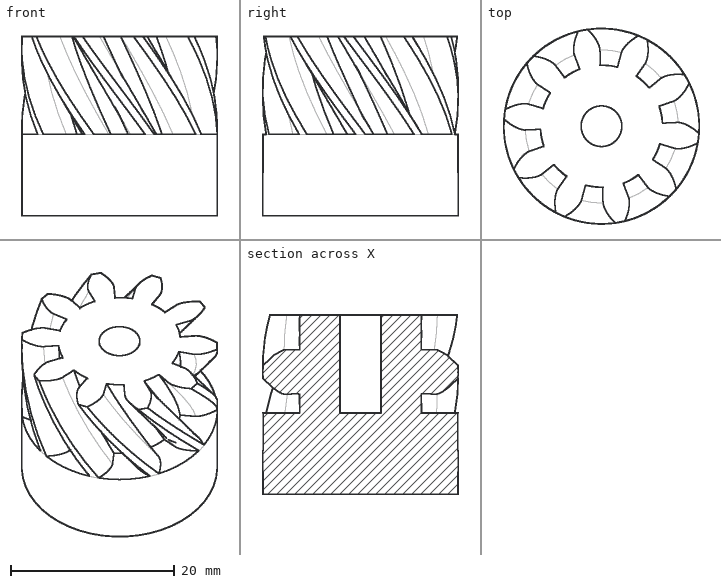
import cadquery as cq
import math

outside_radius = 12.0
tooth_count = 10
pressure_angle = math.radians(20)
dedendum_factor = 1.25
module = 2 * outside_radius / (tooth_count + 2)
pitch_radius = module * tooth_count / 2
base_radius = pitch_radius * math.cos(pressure_angle)
root_radius = pitch_radius - dedendum_factor * module

hub_height = 10.0
gear_height = 12.0
bore_diameter = 5.0
bore_depth = gear_height

twist_degrees = -43.0

flank_sections = 6


def polar(radius, angle):
    return (radius * math.cos(angle), radius * math.sin(angle))


def involute(angle):
    return math.tan(angle) - angle


def tooth_half_angle(radius):
    """Half the angle a tooth spans on a circle at or outside the base circle."""
    at_pitch = math.pi / (2 * tooth_count)
    return at_pitch + involute(pressure_angle) - involute(math.acos(base_radius / radius))


def flank(center, side):
    """Points along one involute flank, from the base circle to the tip."""
    radii = [
        base_radius + (outside_radius - base_radius) * (step / flank_sections) ** 2
        for step in range(flank_sections + 1)
    ]
    return [polar(r, center + side * tooth_half_angle(r)) for r in radii]


def gear_outline():
    """Counterclockwise outline with radial walls below the base circle."""
    pitch_angle = 2 * math.pi / tooth_count
    base_half_angle = tooth_half_angle(base_radius)
    outline = cq.Workplane("XY").workplane(offset=hub_height)
    outline = outline.moveTo(*polar(root_radius, -base_half_angle))
    for index in range(tooth_count):
        center = index * pitch_angle
        rising = flank(center, -1)
        falling = flank(center, 1)[::-1]
        next_root = polar(root_radius, center + pitch_angle - base_half_angle)
        outline = (
            outline.lineTo(*rising[0])
            .spline(rising[1:], includeCurrent=True)
            .threePointArc(polar(outside_radius, center), falling[0])
            .spline(falling[1:], includeCurrent=True)
            .lineTo(*polar(root_radius, center + base_half_angle))
            .threePointArc(polar(root_radius, center + pitch_angle / 2), next_root)
        )
    return outline.close()


hub = cq.Workplane("XY").circle(outside_radius).extrude(hub_height)

helical_gear = gear_outline().twistExtrude(gear_height, twist_degrees)

bore = (
    cq.Workplane("XY")
    .workplane(offset=hub_height + gear_height - bore_depth)
    .circle(bore_diameter / 2)
    .extrude(bore_depth)
)

result = hub.union(helical_gear).cut(bore)